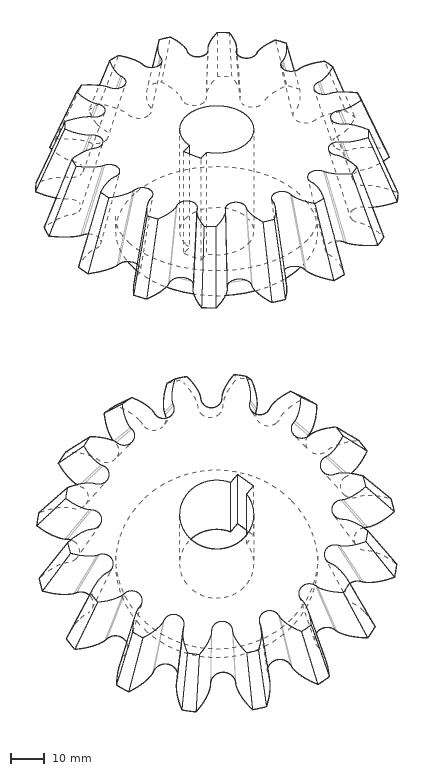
import cadquery as cq
import math


TOOTH_COUNT = 16
MODULE = 6.0
PRESSURE_ANGLE = math.radians(20)
ADDENDUM = 5.78
DEDENDUM = 1.25 * ADDENDUM
FIRST_TOOTH_ANGLE = math.radians(6.5)
APEX_HEIGHT = 150.0
FLANK_POINTS = 6

TOTAL_HEIGHT = 39.24
HUB_HEIGHT = 15.0

HUB_RADIUS = 30.0
HUB_FILLET = 10.0

BORE_RADIUS = 11.0
KEYWAY_WIDTH = 6.0
KEYWAY_REACH = 13.9

TOOTH_PITCH = 2 * math.pi / TOOTH_COUNT
PITCH_RADIUS = MODULE * TOOTH_COUNT / 2
BASE_RADIUS = PITCH_RADIUS * math.cos(PRESSURE_ANGLE)
TIP_RADIUS = PITCH_RADIUS + ADDENDUM
ROOT_RADIUS = PITCH_RADIUS - DEDENDUM
GEAR_HEIGHT = TOTAL_HEIGHT - HUB_HEIGHT
SMALL_END_SCALE = 1 - GEAR_HEIGHT / APEX_HEIGHT


def polar(radius, angle):
    return (radius * math.cos(angle), radius * math.sin(angle))


def involute(angle):
    return math.tan(angle) - angle


def half_tooth_angle(radius):
    """Half the angle a tooth spans at a radius on its involute flank."""
    flank_angle = math.acos(min(1.0, BASE_RADIUS / radius))
    return TOOTH_PITCH / 4 + involute(PRESSURE_ANGLE) - involute(flank_angle)


def gear_outline(plane_height, scale):
    """Closed tooth outline at a height, shrunk towards the axis by a scale."""
    tip_half = half_tooth_angle(TIP_RADIUS)
    base_half = half_tooth_angle(BASE_RADIUS)

    gap_half = TOOTH_PITCH / 2 - base_half
    round_radius = ROOT_RADIUS * math.sin(gap_half) / (1 - math.sin(gap_half))
    tangent_radius = (ROOT_RADIUS + round_radius) * math.cos(gap_half)

    steps = [i / (FLANK_POINTS - 1) for i in range(FLANK_POINTS)]
    flank_radii = [BASE_RADIUS + (TIP_RADIUS - BASE_RADIUS) * step**2 for step in steps]

    def point(radius, angle):
        return polar(scale * radius, angle)

    outline = cq.Workplane("XY", origin=(0, 0, plane_height))
    outline = outline.moveTo(*point(TIP_RADIUS, FIRST_TOOTH_ANGLE - tip_half))
    for tooth in range(TOOTH_COUNT):
        middle = FIRST_TOOTH_ANGLE + tooth * TOOTH_PITCH
        following = middle + TOOTH_PITCH
        falling = [point(r, middle + half_tooth_angle(r)) for r in reversed(flank_radii)]
        rising = [point(r, following - half_tooth_angle(r)) for r in flank_radii]

        outline = outline.threePointArc(point(TIP_RADIUS, middle), falling[0])
        outline = outline.spline(falling[1:], includeCurrent=True)
        outline = outline.lineTo(*point(tangent_radius, middle + base_half))
        outline = outline.threePointArc(
            point(ROOT_RADIUS, middle + TOOTH_PITCH / 2),
            point(tangent_radius, following - base_half),
        )
        outline = outline.lineTo(*rising[0])
        outline = outline.spline(rising[1:], includeCurrent=True)
    return outline.wire().val()


def toothed_body():
    large_end = gear_outline(HUB_HEIGHT, 1.0)
    small_end = gear_outline(TOTAL_HEIGHT, SMALL_END_SCALE)
    return cq.Workplane(cq.Solid.makeLoft([large_end, small_end], True))


def hub():
    """Cylinder that flares through a concave fillet into the large end of the teeth."""
    flare_start = HUB_HEIGHT - HUB_FILLET
    flare_middle = (
        HUB_RADIUS + HUB_FILLET * (1 - math.cos(math.pi / 4)),
        flare_start + HUB_FILLET * math.sin(math.pi / 4),
    )
    return (
        cq.Workplane("XZ")
        .lineTo(HUB_RADIUS, 0)
        .lineTo(HUB_RADIUS, flare_start)
        .threePointArc(flare_middle, (HUB_RADIUS + HUB_FILLET, HUB_HEIGHT))
        .lineTo(0, HUB_HEIGHT)
        .close()
        .revolve(360, (0, 0, 0), (0, 1, 0))
    )


def keyed_bore():
    """Through bore with its keyway on the -Y side."""
    bore = cq.Workplane("XY").circle(BORE_RADIUS).extrude(TOTAL_HEIGHT)
    keyway = (
        cq.Workplane("XY")
        .center(0, -KEYWAY_REACH / 2)
        .rect(KEYWAY_WIDTH, KEYWAY_REACH)
        .extrude(TOTAL_HEIGHT)
    )
    return bore.union(keyway)


result = toothed_body().union(hub()).cut(keyed_bore())